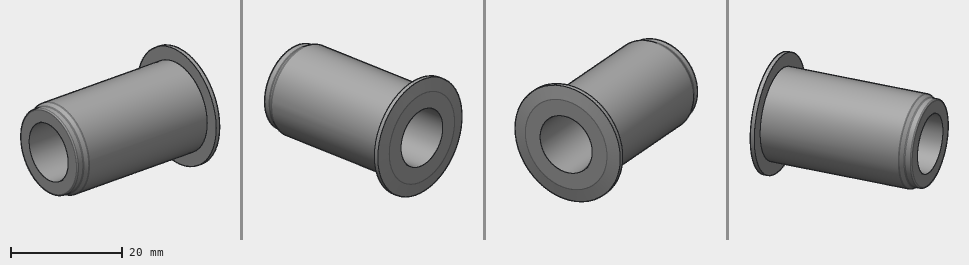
import cadquery as cq
import math


overall_length = 30.86
flange_radius = 22.61 / 2
flange_rim_width = 0.83
flange_crown_height = 0.47
flange_crown_run = 2.55
body_radius = 8.73
bore_radius = 5.59
nose_radius = 8.2
nose_length = 1.38
shoulder_angle = 30
shoulder_top_round = 0.25
shoulder_foot_round = 0.4
nose_round = 0.25

tip_y = -overall_length / 2
end_y = overall_length / 2
rim_top_y = end_y - flange_crown_height
rim_bottom_y = rim_top_y - flange_rim_width
shoulder_foot_y = tip_y + nose_length
shoulder_length = (body_radius - nose_radius) / math.tan(math.radians(shoulder_angle))
shoulder_top_y = shoulder_foot_y + shoulder_length


def make_sleeve():
    """Revolve the sharp-edged half section about the Y axis."""
    section = (
        cq.Workplane("XY")
        .moveTo(bore_radius, tip_y)
        .lineTo(nose_radius, tip_y)
        .lineTo(nose_radius, shoulder_foot_y)
        .lineTo(body_radius, shoulder_top_y)
        .lineTo(body_radius, rim_bottom_y)
        .lineTo(flange_radius, rim_bottom_y)
        .lineTo(flange_radius, rim_top_y)
        .lineTo(flange_radius - flange_crown_run, end_y)
        .lineTo(bore_radius, end_y)
        .close()
    )
    return section.revolve(360, (0, 0, 0), (0, 1, 0))


def round_ring(part, radius, y, round_radius):
    """Round the circular edge of the given radius lying at height y."""
    margin = 0.01
    ring_box = cq.selectors.BoxSelector(
        (-radius - margin, y - margin, -radius - margin),
        (radius + margin, y + margin, radius + margin),
        boundingbox=True,
    )
    outer_ring = cq.selectors.RadiusNthSelector(-1)
    return part.edges(ring_box).edges("%CIRCLE").edges(outer_ring).fillet(round_radius)


result = make_sleeve()
result = round_ring(result, nose_radius, tip_y, nose_round)
result = round_ring(result, nose_radius, shoulder_foot_y, shoulder_foot_round)
result = round_ring(result, body_radius, shoulder_top_y, shoulder_top_round)